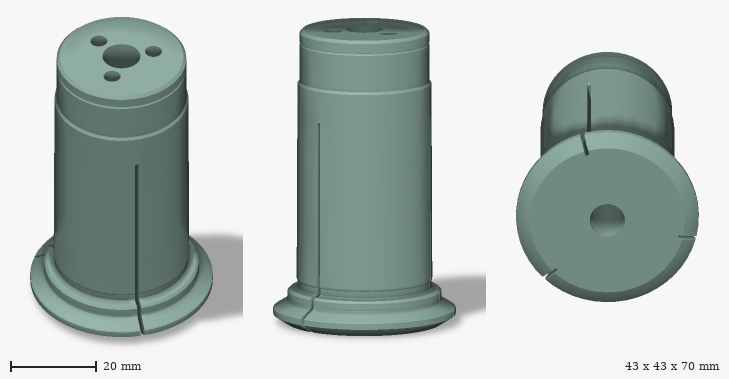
import cadquery as cq
import math


def slope_height(run, angle):
    """Height gained over a horizontal run at the given angle in degrees."""
    return run * math.tan(math.radians(angle))


total_height = 70.0
flange_radius = 21.5

head_radius = 15.25
head_chamfer = 0.7
head_bottom = 57.8
notch_top = 67.1
notch_depth = 0.4
notch_land = 0.2

body_top = 57.2
body_top_radius = 15.75
body_bottom = 10.7
body_bottom_radius = 15.95
body_edge_bottom = 10.35
body_edge_radius = 15.9

neck_radius = 15.75
neck_top = 10.15
neck_bottom = 8.7
neck_fillet = 1.1
neck_fillet_outer_radius = 16.8

collar_radius = 18.1
collar_top = 8.2
collar_chamfer = 0.55
collar_bottom = 5.95
cone_top = 5.5
cone_top_radius = 18.3
flange_top = 3.5
flange_bottom = 2.1
flange_chamfer = 0.2
flange_base_radius = 18.2

tool_bore_radius = 8.25 / 2
funnel_step_radius = 15.5 / 2
funnel_rim_radius = 21.0 / 2
funnel_bottom = 42.2
lower_funnel_angle = 31.0
upper_funnel_angle = 34.0
head_bore_radius = 8.9 / 2
funnel_step = funnel_bottom + slope_height(funnel_step_radius - tool_bore_radius, lower_funnel_angle)
funnel_rim = funnel_step + slope_height(funnel_rim_radius - funnel_step_radius, upper_funnel_angle)

coolant_hole_diameter = 4.0
coolant_circle_radius = funnel_step_radius
coolant_hole_angles = (30, 150, 270)

slot_width = 1.0
slot_angles = (60, 180, 300)
slot_exit_radius = 17.15
slot_floor_angle = 24.5
slot_top = 49.6
slot_ceiling_angle = 34.8
slot_outer_radius = flange_radius + 0.7


def revolve_profile(profile):
    return profile.close().revolve(360, (0, 0, 0), (0, 1, 0))


def make_outer_body():
    notch_radius = head_radius - notch_depth
    notch_cone_top = notch_top - notch_land
    return revolve_profile(
        cq.Workplane("XZ")
        .lineTo(flange_base_radius, 0)
        .lineTo(flange_radius, flange_bottom)
        .lineTo(flange_radius, flange_top)
        .lineTo(flange_radius - flange_chamfer, flange_top + flange_chamfer)
        .lineTo(cone_top_radius, cone_top)
        .lineTo(collar_radius, collar_bottom)
        .lineTo(collar_radius, collar_top - collar_chamfer)
        .lineTo(collar_radius - collar_chamfer, collar_top)
        .lineTo(neck_fillet_outer_radius, collar_top)
        .radiusArc((neck_radius, neck_bottom), neck_fillet)
        .lineTo(neck_radius, neck_top)
        .lineTo(body_edge_radius, body_edge_bottom)
        .lineTo(body_bottom_radius, body_bottom)
        .lineTo(body_top_radius, body_top)
        .lineTo(head_radius, head_bottom)
        .lineTo(head_radius, notch_cone_top - notch_depth)
        .lineTo(notch_radius, notch_cone_top)
        .lineTo(notch_radius, notch_top)
        .lineTo(head_radius, notch_top)
        .lineTo(head_radius, total_height - head_chamfer)
        .lineTo(head_radius - head_chamfer, total_height)
        .lineTo(0, total_height)
    )


def make_bore():
    return revolve_profile(
        cq.Workplane("XZ")
        .lineTo(tool_bore_radius, 0)
        .lineTo(tool_bore_radius, funnel_bottom)
        .lineTo(funnel_step_radius, funnel_step)
        .lineTo(funnel_rim_radius, funnel_rim)
        .lineTo(head_bore_radius, funnel_rim)
        .lineTo(head_bore_radius, total_height)
        .lineTo(0, total_height)
    )


def make_coolant_hole(angle):
    return (
        cq.Workplane("XY", origin=(0, 0, funnel_rim))
        .center(coolant_circle_radius, 0)
        .circle(coolant_hole_diameter / 2)
        .extrude(total_height - funnel_rim)
        .rotate((0, 0, 0), (0, 0, 1), angle)
    )


def make_slot(angle):
    floor_at_axis = slope_height(slot_exit_radius, slot_floor_angle)
    ceiling_at_axis = slot_top - slope_height(body_top_radius, slot_ceiling_angle)
    return (
        cq.Workplane("XZ")
        .moveTo(slot_exit_radius, 0)
        .lineTo(0, floor_at_axis)
        .lineTo(0, ceiling_at_axis)
        .lineTo(body_top_radius, slot_top)
        .lineTo(slot_outer_radius, slot_top)
        .lineTo(slot_outer_radius, 0)
        .close()
        .extrude(slot_width / 2, both=True)
        .rotate((0, 0, 0), (0, 0, 1), angle)
    )


result = make_outer_body().cut(make_bore())
for hole_angle in coolant_hole_angles:
    result = result.cut(make_coolant_hole(hole_angle))
for slot_angle in slot_angles:
    result = result.cut(make_slot(slot_angle))